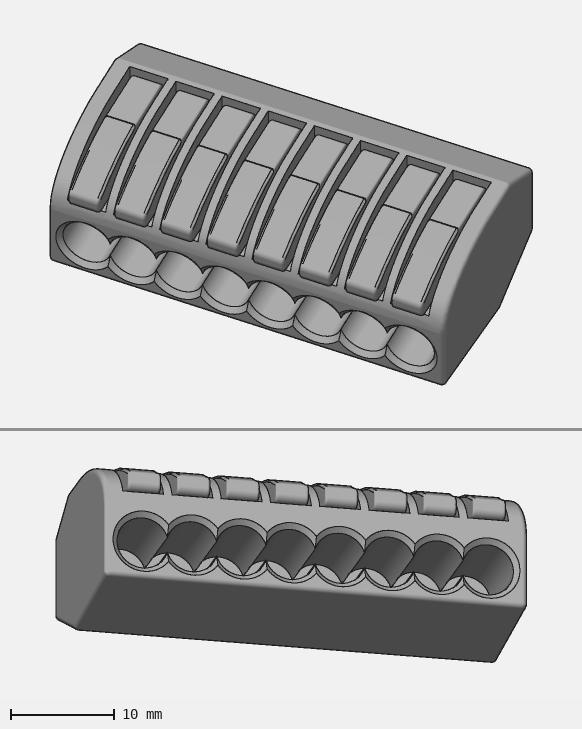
import cadquery as cq

POLE_COUNT = 8
POLE_PITCH = 4.88
HOUSING_LENGTH = 41.84
HOUSING_DEPTH = 20.99
TOP_Z = 14.84
BACK_TOP_Z = 11.95
BACK_BOTTOM_Z = 3.7
FRONT_BOTTOM_Z = 1.27
KEEL_Y = 13.0
KEEL_Z = -0.01
RIDGE_Y = 15.55
CROWN_START_Y = 11.2
CROWN_END_Z = 8.44
EDGE_RADIUS = 0.5

ENTRY_Z = 4.96
ENTRY_RADIUS = 2.55
ENTRY_FLARE = 0.52
ENTRY_DEPTH = 10.0

POCKET_WIDTH = 4.04
POCKET_BACK_Y = 15.0
POCKET_FLOOR_Z = 10.05

LEVER_WIDTH = 3.24
LEVER_TIP_Y = -0.36
LEVER_TOP_Z = 14.4
LEVER_BACK_RADIUS = 1.0
LEVER_STEP_Y = 8.35
LEVER_STEP_Z = 14.5
LEVER_ARCH_MID = (5.29, 14.0)
LEVER_TIP_Z = 11.80
LEVER_TIP_RADIUS = 0.75
LEVER_EDGE_RADIUS = 0.25


def extrude_along_x(profile, width):
    """Extrude a YZ profile to the given width, centered on X = 0."""
    return profile.extrude(width).translate((-width / 2, 0, 0))


def make_housing():
    crown_height = TOP_Z - CROWN_END_Z
    profile = (
        cq.Workplane("YZ")
        .moveTo(0, FRONT_BOTTOM_Z)
        .lineTo(KEEL_Y, KEEL_Z)
        .lineTo(HOUSING_DEPTH, BACK_BOTTOM_Z)
        .lineTo(HOUSING_DEPTH, BACK_TOP_Z)
        .lineTo(RIDGE_Y, TOP_Z)
        .lineTo(CROWN_START_Y, TOP_Z)
        .ellipseArc(CROWN_START_Y, crown_height, 90, 180, startAtCurrent=True, sense=1)
        .close()
    )
    return extrude_along_x(profile, HOUSING_LENGTH).edges().fillet(EDGE_RADIUS)


def make_wire_entry(center_x):
    """Round blind hole from the front face with a conical lead-in."""
    mouth_radius = ENTRY_RADIUS + ENTRY_FLARE
    return (
        cq.Workplane("YZ")
        .lineTo(0, -mouth_radius)
        .lineTo(ENTRY_FLARE, -ENTRY_RADIUS)
        .lineTo(ENTRY_DEPTH, -ENTRY_RADIUS)
        .lineTo(ENTRY_DEPTH, 0)
        .close()
        .revolve(360, (0, 0), (1, 0))
        .translate((center_x, 0, ENTRY_Z))
    )


def make_pocket(center_x):
    """Box from the pocket floor up, open through the crown and the top."""
    return cq.Workplane("XY").box(
        POCKET_WIDTH, POCKET_BACK_Y, TOP_Z, centered=(True, False, False)
    ).translate((center_x, 0, POCKET_FLOOR_Z))


def make_lever(center_x):
    profile = (
        cq.Workplane("YZ")
        .moveTo(LEVER_TIP_Y, POCKET_FLOOR_Z)
        .lineTo(POCKET_BACK_Y, POCKET_FLOOR_Z)
        .lineTo(POCKET_BACK_Y, LEVER_TOP_Z)
        .lineTo(LEVER_STEP_Y, LEVER_TOP_Z)
        .lineTo(LEVER_STEP_Y, LEVER_STEP_Z)
        .threePointArc(LEVER_ARCH_MID, (LEVER_TIP_Y, LEVER_TIP_Z))
        .close()
    )
    lever = extrude_along_x(profile, LEVER_WIDTH)
    lever = lever.faces("<Y").edges("|X").fillet(LEVER_TIP_RADIUS)
    lever = lever.faces(">Y").edges(">Z").fillet(LEVER_BACK_RADIUS)
    side_edges = lever.faces("<X or >X").edges("not(<Z or >Y)")
    return side_edges.fillet(LEVER_EDGE_RADIUS).translate((center_x, 0, 0))


pole_centers = [(i - (POLE_COUNT - 1) / 2) * POLE_PITCH for i in range(POLE_COUNT)]

result = make_housing()
for x in pole_centers:
    result = result.cut(make_wire_entry(x)).cut(make_pocket(x)).union(make_lever(x))